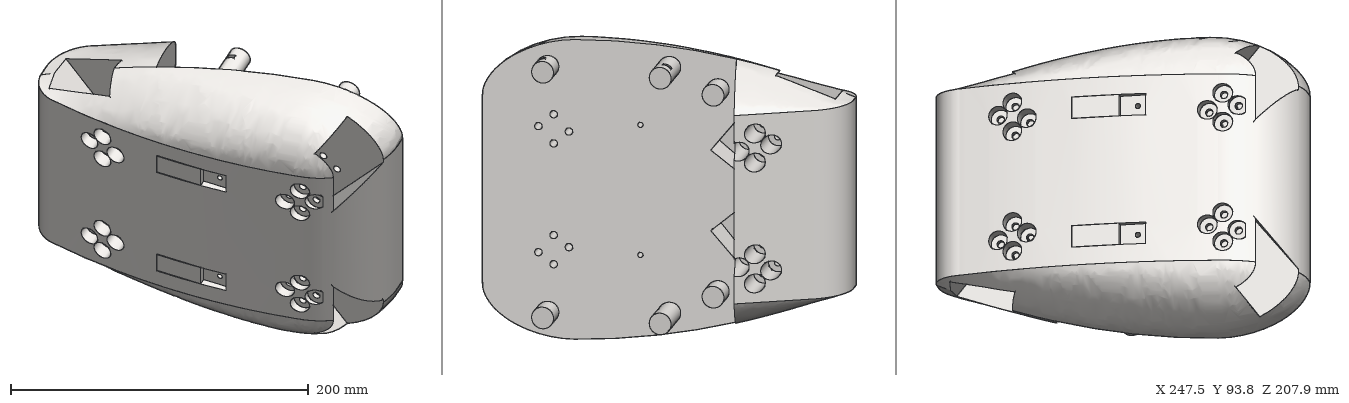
import cadquery as cq
import math

LENGTH = 247.54
DEPTH = 93.83
HALF_WIDTH = 104.0
MID_HALF_WIDTH = 65.3
CUT_CLEARANCE = 1.0

SLOPE_ANGLE = math.radians(10.0)
SLOPE_END_Y = 72.1
NOSE_FLAT_TOP = 35.3
NOSE_MID = (5.6, 15.6)
NOSE_END = (20.1, 8.6)
BELLY_MID = (110.0, 0.0)
BELLY_END = (197.4, 8.3)
TAIL_MID = (233.9, 28.5)
TAIL_ARC_END_Y = 66.0
BACK_MID = (4.6, 54.0)
BACK_ARC_END = (20.2, 69.4)
GAP_APEX_X = 79.2

DOME_HEIGHT = HALF_WIDTH - MID_HALF_WIDTH
DOME_PEAK_X = 186.0
TAIL_FULLNESS = 1.85
NOSE_EXPONENT = 1.0
PEAK_EXPONENT = 2.0
LOBE_EXPONENT = 1.5
DOME_END_GAP = 0.3
LOBE_END_GAP = 0.03
DOME_STATIONS = 21
ARC_POINTS = 9

SLOT_Y = (17.2, 47.2)
SLOT_ANGLE = math.radians(50.5)
SLOT_WIDTH = 40.7
SLOT_OUTREACH = 60.0
NOSE_SLOT_CORNER = (50.4, 83.5)
NOSE_SLOT_DEPTH = 72.0
TAIL_SLOT_CORNER = (218.6, 95.7)
TAIL_SLOT_DEPTH = 76.0

CLUSTER_Z = 41.9
CLUSTER_RADIUS = 10.1
CLUSTER_SKEW = 1.8
NOSE_CLUSTER_X = 57.2
TAIL_CLUSTER_X = 200.2
BORE_DIAMETER = 13.0
BOLT_DIAMETER = 5.0
FRONT_BORE_FLOOR = 13.7
BACK_BORE_FLOOR = 60.0

LATCH_Z = 45.1
LATCH_WIDTH = 15.0
LATCH_START_X = 98.5
LATCH_STEP_X = 130.8
LATCH_END_X = 148.9
LATCH_PAD_FLOOR = 0.7
LATCH_POCKET_FLOOR = 5.4
LATCH_HOLE_X = 142.8
LATCH_HOLE_DIAMETER = 3.5

POST_DIAMETER = 15.0
TALL_POST_Z = 85.2
TALL_POST_TOP = 80.8
SHORT_POST_X = 91.5
SHORT_POST_Z = 70.0
SHORT_POST_TOP = 60.6
POST_ROOT_DEPTH = 10.0
TALL_POSTS = [(123.6, -1), (204.3, 1)]
NOTCH_Y = (70.3, 73.3)
NOTCH_WIDTH = 6.4
NOTCH_DEPTH = 4.6


def slope_y(x):
    return SLOPE_END_Y - (LENGTH - x) * math.tan(SLOPE_ANGLE)


def lobe_tip():
    """Back corner of the nose lobe, square to the slope above the gap apex."""
    rise = DEPTH - slope_y(GAP_APEX_X)
    return GAP_APEX_X - rise * math.tan(SLOPE_ANGLE), DEPTH


def main_profile():
    """Body below the slope line."""
    return (
        cq.Workplane("XY")
        .moveTo(0, slope_y(0))
        .threePointArc(NOSE_MID, NOSE_END)
        .threePointArc(BELLY_MID, BELLY_END)
        .threePointArc(TAIL_MID, (LENGTH, TAIL_ARC_END_Y))
        .lineTo(LENGTH, SLOPE_END_Y)
        .close()
    )


def lobe_profile():
    """Nose lobe above the slope line, carried on past its tip to the apex."""
    tip_x, tip_y = lobe_tip()
    back_rise = (tip_y - BACK_ARC_END[1]) / (tip_x - BACK_ARC_END[0])
    end_y = tip_y + back_rise * (GAP_APEX_X - tip_x)
    return (
        cq.Workplane("XY")
        .moveTo(0, slope_y(0))
        .lineTo(0, NOSE_FLAT_TOP)
        .threePointArc(BACK_MID, BACK_ARC_END)
        .lineTo(GAP_APEX_X, end_y)
        .lineTo(GAP_APEX_X, slope_y(GAP_APEX_X))
        .close()
    )


def ridge_height(x):
    """Height of the dome ridge: a parabola to the nose and a rounded tail."""
    if x < DOME_PEAK_X:
        return DOME_HEIGHT * (1 - ((DOME_PEAK_X - x) / DOME_PEAK_X) ** 2)
    u = (x - DOME_PEAK_X) / (LENGTH - DOME_PEAK_X)
    return DOME_HEIGHT * (1 - u ** TAIL_FULLNESS) ** (1 / TAIL_FULLNESS)


def main_exponent(x):
    """The main dome grows from straight-sided at the nose to elliptic at its peak."""
    return NOSE_EXPONENT + (PEAK_EXPONENT - NOSE_EXPONENT) * min(x / DOME_PEAK_X, 1.0)


def lobe_exponent(_):
    """The lobe keeps one section shape all along."""
    return LOBE_EXPONENT


def dome_section(x, foot_y, exponent):
    """Section across X: a superelliptic quarter from the foot up to the ridge."""
    ridge_y = slope_y(x)
    height = ridge_height(x)
    crown = []
    for i in range(ARC_POINTS):
        angle = math.pi / 2 * i / (ARC_POINTS - 1)
        across = max(math.cos(angle), 0.0) ** (2 / exponent)
        up = math.sin(angle) ** (2 / exponent)
        crown.append(cq.Vector(x, ridge_y + (foot_y - ridge_y) * across, MID_HALF_WIDTH + height * up))
    root = cq.Vector(x, ridge_y, MID_HALF_WIDTH)
    edges = [
        cq.Edge.makeSpline(crown),
        cq.Edge.makeLine(crown[-1], root),
        cq.Edge.makeLine(root, crown[0]),
    ]
    return cq.Wire.assembleEdges(edges)


def dome(profile, end_x, exponent_at, closed_end):
    """Loft over one profile; stations crowd towards the ends that close down."""
    face = cq.Face.makeFromWires(profile.wires().val())
    start = DOME_END_GAP
    stop = end_x - (DOME_END_GAP if closed_end else LOBE_END_GAP)
    sweep = math.pi if closed_end else math.pi / 2
    sections = []
    for i in range(DOME_STATIONS):
        share = (1 - math.cos(sweep * i / (DOME_STATIONS - 1))) / (1 - math.cos(sweep))
        x = start + (stop - start) * share
        span = face.intersect(cq.Edge.makeLine((x, -DEPTH, 0), (x, 2 * DEPTH, 0))).BoundingBox()
        low_is_ridge = abs(span.ymin - slope_y(x)) < abs(span.ymax - slope_y(x))
        foot_y = span.ymax if low_is_ridge else span.ymin
        sections.append(dome_section(x, foot_y, exponent_at(x)))
    return cq.Workplane(cq.Solid.makeLoft(sections))


def along_y(x, z, diameter, start, end):
    """Round bar or hole parallel to Y."""
    return cq.Workplane(cq.Solid.makeCylinder(
        diameter / 2, end - start, cq.Vector(x, start, z), cq.Vector(0, 1, 0)
    ))


def block(xs, ys, zs):
    return cq.Workplane("XY").box(
        xs[1] - xs[0], ys[1] - ys[0], zs[1] - zs[0], centered=False
    ).translate((xs[0], ys[0], zs[0]))


def body_half():
    """Upper half of the body: the middle capped by the two domes."""
    middle = main_profile().extrude(MID_HALF_WIDTH).union(lobe_profile().extrude(MID_HALF_WIDTH))
    main_dome = dome(main_profile(), LENGTH, main_exponent, True)
    lobe_dome = dome(lobe_profile(), GAP_APEX_X, lobe_exponent, False)
    return middle.union(main_dome).union(lobe_dome).cut(gap_block())


def gap_block():
    """Clears everything behind the lobe's end face, which is square to the slope."""
    return (
        cq.Workplane("XY")
        .box(LENGTH, 2 * DEPTH, 3 * HALF_WIDTH, centered=(False, False, True))
        .rotate((0, 0, 0), (0, 0, 1), math.degrees(SLOPE_ANGLE))
        .translate((GAP_APEX_X, slope_y(GAP_APEX_X), 0))
    )


def slanted_slot(corner, side, width, depth, ys):
    """Slot whose inner wall meets the surface at corner; side 1 leans to the tail, -1 to the nose."""
    out = (side * math.cos(SLOT_ANGLE), math.sin(SLOT_ANGLE))
    across = (side * width * out[1], -side * width * out[0])
    points = []
    for reach, shift in [(SLOT_OUTREACH, 0), (SLOT_OUTREACH, 1), (-depth, 1), (-depth, 0)]:
        points.append((
            corner[0] + reach * out[0] + shift * across[0],
            corner[1] + reach * out[1] + shift * across[1],
        ))
    return cq.Workplane("XZ", origin=(0, ys[1], 0)).polyline(points).close().extrude(ys[1] - ys[0])


def corner_slots():
    nose = slanted_slot(NOSE_SLOT_CORNER, -1, SLOT_WIDTH, NOSE_SLOT_DEPTH, SLOT_Y)
    tail = slanted_slot(TAIL_SLOT_CORNER, 1, SLOT_WIDTH, TAIL_SLOT_DEPTH, SLOT_Y)
    return nose.union(tail)


def cluster(center_x, skew, back_bored):
    offsets = [
        (0, CLUSTER_RADIUS),
        (0, -CLUSTER_RADIUS),
        (-CLUSTER_RADIUS, skew),
        (CLUSTER_RADIUS, -skew),
    ]
    cutter = cq.Workplane("XY")
    for dx, dz in offsets:
        x = center_x + dx
        z = CLUSTER_Z + dz
        cutter = cutter.union(along_y(x, z, BOLT_DIAMETER, -CUT_CLEARANCE, DEPTH))
        cutter = cutter.union(along_y(x, z, BORE_DIAMETER, -CUT_CLEARANCE, FRONT_BORE_FLOOR))
        if back_bored:
            cutter = cutter.union(along_y(x, z, BORE_DIAMETER, BACK_BORE_FLOOR, DEPTH + CUT_CLEARANCE))
    return cutter


def latch_recess():
    """Shallow flat pad, deeper pocket beside it and a hole right through."""
    zs = (LATCH_Z - LATCH_WIDTH / 2, LATCH_Z + LATCH_WIDTH / 2)
    pad = block((LATCH_START_X, LATCH_STEP_X), (-CUT_CLEARANCE, LATCH_PAD_FLOOR), zs)
    pocket = block((LATCH_STEP_X, LATCH_END_X), (-CUT_CLEARANCE, LATCH_POCKET_FLOOR), zs)
    hole = along_y(LATCH_HOLE_X, LATCH_Z, LATCH_HOLE_DIAMETER, 0, DEPTH)
    return pad.union(pocket).union(hole)


def posts():
    short_root = slope_y(SHORT_POST_X) - POST_ROOT_DEPTH
    group = along_y(SHORT_POST_X, SHORT_POST_Z, POST_DIAMETER, short_root, SHORT_POST_TOP)
    for x, side in TALL_POSTS:
        post = along_y(x, TALL_POST_Z, POST_DIAMETER, slope_y(x) - POST_ROOT_DEPTH, TALL_POST_TOP)
        crest = (x, TALL_POST_Z + POST_DIAMETER / 2)
        notch = slanted_slot(crest, side, NOTCH_WIDTH, NOTCH_DEPTH, NOTCH_Y)
        group = group.union(post.cut(notch))
    return group


half = body_half().union(posts())
half = half.cut(corner_slots())
half = half.cut(cluster(NOSE_CLUSTER_X, CLUSTER_SKEW, True))
half = half.cut(cluster(TAIL_CLUSTER_X, -CLUSTER_SKEW, False))
half = half.cut(latch_recess())
result = half.union(half.mirror("XY"))